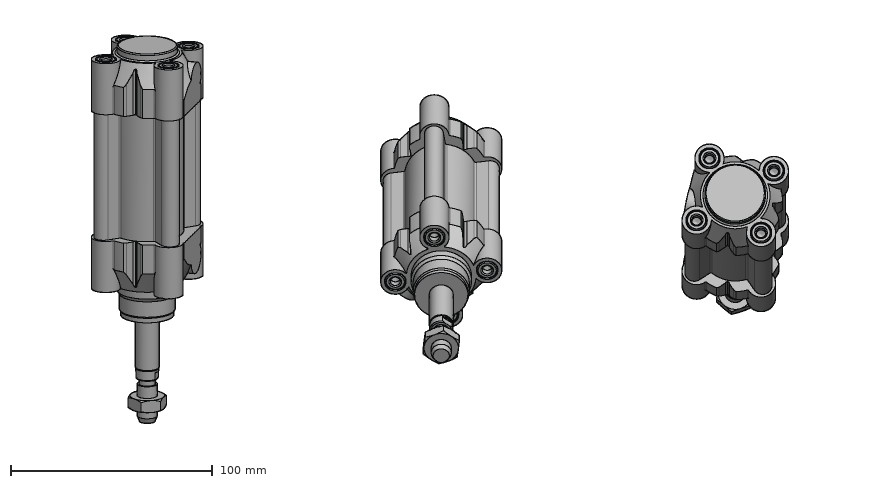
import cadquery as cq
import math

overall_length = 196.0
cap_height = 26.7
rear_collar_height = 4.0
barrel_length = 66.0
barrel_top = overall_length - rear_collar_height - cap_height
barrel_bottom = barrel_top - barrel_length
front_cap_face = barrel_bottom - cap_height

outer_half_width = 23.5
screw_offset = 16.3
corner_radius = outer_half_width - screw_offset
corner_inner_edge = screw_offset - corner_radius
cap_radius = 23.5
cap_land_radius = 17.2
taper_height = 11.5
taper_slope = (cap_radius - cap_land_radius) / taper_height
post_root_fillet = 0.5
edge_tolerance = 0.02

collar_diameter = 30.0
collar_base_diameter = 32.0
collar_flare_height = 0.5
collar_chamfer = 0.5

notch_apex_offset = 18.72
notch_half_angle = 45.0
notch_root_diameter = 2.2
notch_root_offset = 19.9
notch_edge_offset = 22.3
notch_mouth_half_width = 5.0
notch_mouth_offset = 23.1

port_flat_width = 27.5
port_boss_diameter = 16.0
port_boss_y = 5.9
port_boss_z = 13.7

ring_diameter = 10.5
ring_depth = 1.2
screw_head_diameter = 10.0
screw_head_top_diameter = 9.0
socket_diameter = 6.3
socket_bore_diameter = 4.9
socket_chamfer_depth = 0.5
socket_depth = 4.0
socket_cone_height = 1.4

front_collar_height = 4.3
neck_slope_height = 1.8
neck_diameter = 27.8
neck_end_diameter = 26.5
neck_end_height = 2.4
neck_end_slope = 0.8
neck_bottom = 55.5

barrel_radius = 18.13
rib_radius = 4.7
barrel_half_width = 22.0
rib_root_fillet = 1.0

rod_diameter = 12.0
rod_shoulder_z = 28.2
rod_shoulder_slope = 0.5
wrench_diameter = 11.5
wrench_bottom = 22.3
wrench_chamfer = 0.5
wrench_flat_top = 26.5
wrench_flat_width = 10.0
undercut_diameter = 8.0
thread_diameter = 10.0
thread_top = 19.5
tip_chamfer_height = 2.7

nut_width = 17.0
nut_bottom = 7.0
nut_height = 6.3
nut_chamfer_height = 0.8


def disc(diameter, bottom, height):
    return cq.Workplane("XY").workplane(offset=bottom).circle(diameter / 2).extrude(height)


def revolved(points):
    """Solid of revolution about Z from (radius, z) points; the ends close on the axis."""
    profile = points + [(0, points[-1][1])]
    if points[0][0] > 0:
        profile = [(0, points[0][1])] + profile
    return cq.Workplane("XZ").polyline(profile).close().revolve(360, (0, 0), (0, 1))


def corner_positions():
    return [(sx * screw_offset, sy * screw_offset) for sx in (-1, 1) for sy in (-1, 1)]


def cap_taper():
    """Conical envelope that shapes the shoulder of a cap."""
    base_radius = cap_land_radius + cap_height * taper_slope
    return revolved([(base_radius, 0), (cap_land_radius, cap_height)])


def cap_corner():
    """Corner post on the +X +Y side, round outside and square towards the axis."""
    arc_middle = screw_offset + corner_radius * math.sqrt(0.5)
    return (
        cq.Workplane("XY")
        .moveTo(corner_inner_edge, corner_inner_edge)
        .lineTo(screw_offset, corner_inner_edge)
        .threePointArc((arc_middle, arc_middle), (corner_inner_edge, screw_offset))
        .close()
        .extrude(cap_height)
    )


def notch():
    """V groove cutter on the -Y side with a round root and a wider, steeper mouth."""
    wall_slope = math.tan(math.radians(notch_half_angle))
    edge_half_width = (notch_edge_offset - notch_apex_offset) * wall_slope
    mouth = notch_mouth_half_width
    outside = outer_half_width + corner_radius
    outline = [
        (0, -notch_apex_offset),
        (edge_half_width, -notch_edge_offset),
        (mouth, -notch_mouth_offset),
        (mouth, -outside),
        (-mouth, -outside),
        (-mouth, -notch_mouth_offset),
        (-edge_half_width, -notch_edge_offset),
    ]
    groove = cq.Workplane("XY").polyline(outline).close().extrude(cap_height)
    return groove.union(disc(notch_root_diameter, 0, cap_height).translate((0, -notch_root_offset, 0)))


def port_flat():
    """Block that fills the +X side between the corner posts."""
    return cq.Workplane("XY").box(
        outer_half_width, port_flat_width, cap_height, centered=(False, True, False)
    )


def port_boss():
    """Round boss lying along X under the tapered shoulder."""
    circle = cq.Workplane("YZ").center(port_boss_y, port_boss_z).circle(port_boss_diameter / 2)
    return circle.extrude(outer_half_width)


def screw_recess():
    """Ring groove around the chamfered screw head and the conical socket in it, at the cap face."""
    ring_bottom = cap_height - ring_depth
    ring = disc(ring_diameter, ring_bottom, ring_depth)
    head = revolved([(screw_head_diameter / 2, ring_bottom), (screw_head_top_diameter / 2, cap_height)])
    socket_bottom = cap_height - socket_depth
    bore_radius = socket_bore_diameter / 2
    socket = revolved([
        (0, socket_bottom - socket_cone_height),
        (bore_radius, socket_bottom),
        (bore_radius, cap_height - socket_chamfer_depth),
        (socket_diameter / 2, cap_height),
    ])
    return ring.cut(head).union(socket)


def round_post_roots(body):
    """Fillet the upright inside corners between the posts and the round cap body."""
    def is_post_root(edge):
        center = edge.Center()
        return abs(math.hypot(center.x, center.y) - cap_radius) < edge_tolerance and (
            corner_inner_edge < min(abs(center.x), abs(center.y))
        )

    roots = body.edges("|Z").filter(is_post_root)
    return body.newObject(roots.vals()).fillet(post_root_fillet)


def end_cap():
    """Cap with its barrel side at Z = 0 and its outer face at cap_height."""
    body = disc(2 * cap_radius, 0, cap_height).union(port_flat())
    for angle in (0, 180, 270):
        body = body.cut(notch().rotate((0, 0, 0), (0, 0, 1), angle))
    body = body.intersect(cap_taper())
    for angle in (0, 90, 180, 270):
        body = body.union(cap_corner().rotate((0, 0, 0), (0, 0, 1), angle))
    body = round_post_roots(body).union(port_boss())
    for x, y in corner_positions():
        body = body.cut(screw_recess().translate((x, y, 0)))
    return body


def make_rear_cap():
    collar_radius = collar_diameter / 2
    collar_top = cap_height + rear_collar_height
    collar = revolved([
        (collar_base_diameter / 2, cap_height),
        (collar_radius, cap_height + collar_flare_height),
        (collar_radius, collar_top - collar_chamfer),
        (collar_radius - collar_chamfer, collar_top),
    ])
    return end_cap().union(collar).translate((0, 0, barrel_top))


def make_front_cap():
    cap = end_cap().mirror("XY").translate((0, 0, barrel_bottom))
    collar_bottom = front_cap_face - front_collar_height
    neck = revolved([
        (collar_diameter / 2, front_cap_face),
        (collar_diameter / 2, collar_bottom),
        (neck_diameter / 2, collar_bottom - neck_slope_height),
        (neck_diameter / 2, neck_bottom + neck_end_height + neck_end_slope),
        (neck_end_diameter / 2, neck_bottom + neck_end_height),
        (neck_end_diameter / 2, neck_bottom),
    ])
    rod_bore = disc(rod_diameter, neck_bottom, barrel_bottom - neck_bottom)
    return cap.union(neck).cut(rod_bore)


def make_barrel():
    """Round tube body with four diagonal round-edged ribs."""
    core = disc(2 * barrel_radius, barrel_bottom, barrel_length)
    rib_reach = math.sqrt(2) * (barrel_half_width - rib_radius)
    cross = cq.Workplane("XY").workplane(offset=barrel_bottom)
    bars = cross.slot2D(2 * (rib_reach + rib_radius), 2 * rib_radius, 45).extrude(barrel_length)
    bars = bars.union(cross.slot2D(2 * (rib_reach + rib_radius), 2 * rib_radius, 135).extrude(barrel_length))
    barrel = core.union(bars)
    root_zone = barrel_radius + edge_tolerance
    roots = barrel.edges("|Z").filter(lambda e: math.hypot(e.Center().x, e.Center().y) < root_zone)
    return barrel.newObject(roots.vals()).fillet(rib_root_fillet)


def make_rod():
    rod_radius = rod_diameter / 2
    wrench_radius = wrench_diameter / 2
    undercut_radius = undercut_diameter / 2
    thread_radius = thread_diameter / 2
    rod = revolved([
        (rod_radius, barrel_bottom),
        (rod_radius, rod_shoulder_z),
        (wrench_radius, rod_shoulder_z - rod_shoulder_slope),
        (wrench_radius, wrench_bottom + wrench_chamfer),
        (wrench_radius - wrench_chamfer, wrench_bottom),
        (undercut_radius, wrench_bottom),
        (undercut_radius, thread_top),
        (thread_radius, thread_top),
        (thread_radius, tip_chamfer_height),
        (undercut_radius, 0),
    ])
    flat_height = wrench_flat_top - wrench_bottom
    for side in (-1, 1):
        flat = cq.Workplane("XY").box(rod_diameter, rod_diameter, flat_height)
        flat_x = side * (wrench_flat_width + rod_diameter) / 2
        rod = rod.cut(flat.translate((flat_x, 0, wrench_bottom + flat_height / 2)))
    return rod


def make_nut():
    corner_diameter = nut_width / math.cos(math.radians(30))
    hexagon = (
        cq.Workplane("XY")
        .workplane(offset=nut_bottom)
        .transformed(rotate=(0, 0, 30))
        .polygon(6, corner_diameter)
        .extrude(nut_height)
    )
    nut_top = nut_bottom + nut_height
    chamfered = revolved([
        (nut_width / 2, nut_bottom),
        (corner_diameter / 2, nut_bottom + nut_chamfer_height),
        (corner_diameter / 2, nut_top - nut_chamfer_height),
        (nut_width / 2, nut_top),
    ])
    return hexagon.intersect(chamfered).cut(disc(thread_diameter, nut_bottom, nut_height))


rear_cap = make_rear_cap()
front_cap = make_front_cap()
barrel = make_barrel()
rod = make_rod()
nut = make_nut()

result = cq.Compound.makeCompound([
    rear_cap.val(),
    front_cap.val(),
    barrel.val(),
    rod.val(),
    nut.val(),
])